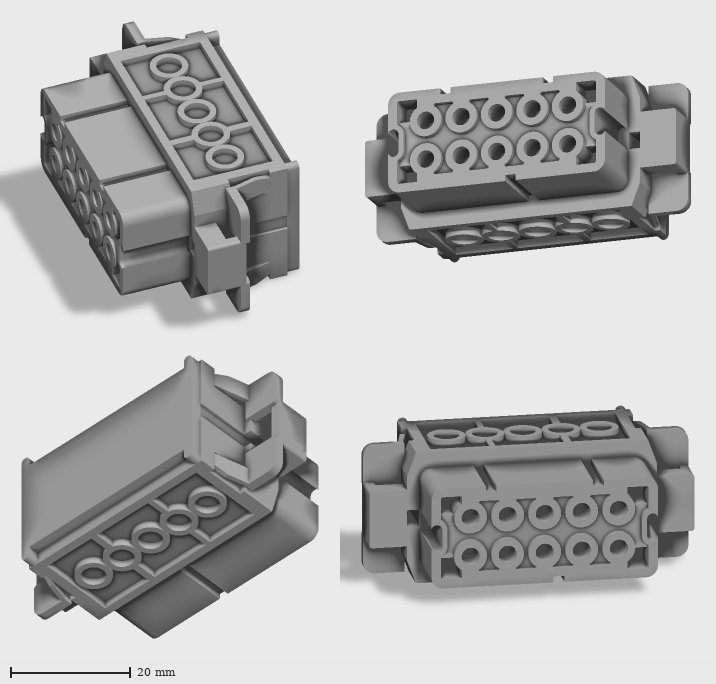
import cadquery as cq

EPS = 0.05
SIDES = (-1, 1)

overall_length = 31.55
housing_half_width = 19.75
half_height = 23.0 / 2
housing_back = 17.35
rim_back = 19.55
rim_half_width = 19.45
rail_width = 1.7
rim_web_drop = 2.2

collar_half_width = 21.25
collar_back = 6.85
collar_bevel_start = 7.4

channel_half_height = 1.45

block_half_width = 19.25
block_half_height = 17.55 / 2
block_length = overall_length - rim_back
block_corner = 2.0
key_width = 1.8
key_depth = 1.05
upper_key_x = 9.15
lower_key_x = 2.45
side_groove_inner = 17.45
side_groove_height = 4.8
side_groove_width = 1.9

columns = 5
contact_pitch = 6.3
row_spacing = 6.8
contact_z = row_spacing / 2
sleeve_radius = 5.6 / 2
bore_radius = 3.05 / 2
bore_depth = 5.55

recess_depth = 1.2
recess_half_width = 17.65
end_wall = 0.9
neck_width = 3.55
neck_half_height = 12.45 / 2
corner_inner_x = 14.1
corner_top_z = 7.25
corner_step_z = 3.8
corner_depth = 5
recess_fillet = 0.35

tray_half_width = 34.05 / 2
tray_front = 1.5
tray_back = 15.75
tray_depth = 1.4
port_row_length = 26.05
port_pitch = port_row_length / (columns - 1)
port_y = 8.65
port_radius = 6.5 / 2
port_bore_radius = 2.15
port_bore_depth = tray_depth
rib_outer_x = 7.0
left_rib_width = 1.0
right_rib_width = 1.3

flange_half_width = 27.7
plate_inner_x = 20.65
plate_front = 5.85
plate_back = 7.55
plate_half_height = 11.25
plate_corner = 2.0
foot_half_height = 4.95
foot_fillet = 0.5
window_outer_x = 26.05
window_front = 3.8
notch_depth = plate_back - collar_back
notch_half_height = 3.9
arm_bottom_z = 7.75
arm_tip_y = 14.2
arm_root_outer_x = 21.45
arm_tip_inner_x = 18.85
arm_taper_y = 11.4
arm_tip_z = 10.35


def box(x_range, y_range, z_range):
    """Axis-aligned box given by a pair of limits on each axis, in either order."""
    limits = [sorted(pair) for pair in (x_range, y_range, z_range)]
    lengths = [high - low for low, high in limits]
    corner = tuple(low for low, _ in limits)
    return cq.Workplane("XY").box(*lengths, centered=False).translate(corner)


def mirrored_x(x_near, x_far, side):
    """X limits placed on the chosen side of the part."""
    return (side * x_near, side * x_far)


def cylinder_y(x, z, radius, y_front, y_back):
    """Cylinder along Y between two planes."""
    plane = cq.Workplane("XZ", origin=(x, y_back, z))
    return plane.circle(radius).extrude(y_back - y_front)


def centered_row(count, pitch):
    """Positions of equally spaced items, symmetric about zero."""
    return [(index - (count - 1) / 2) * pitch for index in range(count)]


contact_xs = centered_row(columns, contact_pitch)
neck_xs = centered_row(columns - 1, contact_pitch)
port_xs = centered_row(columns, port_pitch)


def make_housing():
    body = box((-housing_half_width, housing_half_width), (0, housing_back), (-half_height, half_height))
    collar = (
        cq.Workplane("XZ")
        .polyline([
            (housing_half_width, half_height),
            (collar_half_width, collar_bevel_start),
            (collar_half_width, -collar_bevel_start),
            (housing_half_width, -half_height),
            (-housing_half_width, -half_height),
            (-collar_half_width, -collar_bevel_start),
            (-collar_half_width, collar_bevel_start),
            (-housing_half_width, half_height),
        ])
        .close()
        .extrude(-collar_back)
    )
    for side in SIDES:
        for level in SIDES:
            body = body.cut(box(
                mirrored_x(arm_tip_inner_x, housing_half_width + EPS, side),
                (collar_back, arm_tip_y),
                (level * collar_bevel_start, level * (half_height + EPS)),
            ))
    return body.union(collar)


def make_rim():
    """Two full-height rails with rounded ends, joined by a lower web."""
    web_half_height = half_height - rim_web_drop
    rim_y = (housing_back, rim_back)
    rim = box((-rim_half_width, rim_half_width), rim_y, (-web_half_height, web_half_height))
    rail_x = rim_half_width - rail_width / 2
    for side in SIDES:
        rail = (
            cq.Workplane("XZ", origin=(side * rail_x, rim_back, 0))
            .slot2D(2 * half_height, rail_width, 90)
            .extrude(rim_back - housing_back)
        )
        rim = rim.union(rail)
    return rim


def side_groove_solid(side, grow):
    """Round-ended bar along the side of the mating block, enlarged by a given wall."""
    center_x = side * (side_groove_inner + side_groove_width / 2)
    return (
        cq.Workplane("XZ", origin=(center_x, 0, 0))
        .slot2D(side_groove_height + 2 * grow, side_groove_width + 2 * grow, 90)
        .extrude(block_length)
    )


def make_block():
    block = (
        box(
            (-block_half_width, block_half_width),
            (-block_length, 0),
            (-block_half_height, block_half_height),
        )
        .edges("|Y")
        .fillet(block_corner)
    )
    keyways = [(-upper_key_x, 1), (upper_key_x, 1), (lower_key_x, -1)]
    for x, level in keyways:
        block = block.cut(box(
            (x - key_width / 2, x + key_width / 2),
            (-block_length, 0),
            (level * (block_half_height - key_depth), level * block_half_height),
        ))
    for side in SIDES:
        block = block.cut(side_groove_solid(side, 0))
    return block


def make_contact_recess():
    """Shallow recess between the sleeves plus four deep corner pockets."""
    face = -block_length
    shallow_y = (face, face + recess_depth)
    recess = box((-recess_half_width, recess_half_width), shallow_y, (-contact_z, contact_z))
    for x in neck_xs:
        neck_x = (x - neck_width / 2, x + neck_width / 2)
        neck = box(neck_x, shallow_y, (-neck_half_height, neck_half_height))
        recess = recess.union(neck.edges("|Y").fillet(recess_fillet))
    for side in SIDES:
        corner_x = mirrored_x(corner_inner_x, recess_half_width, side)
        recess = recess.union(box(corner_x, shallow_y, (-corner_step_z, corner_step_z)))
        for level in SIDES:
            pocket = box(
                corner_x,
                (face, face + corner_depth),
                (level * corner_step_z, level * corner_top_z),
            )
            outer_edge = (">X" if side > 0 else "<X") + " and |Y"
            top_face = ">Z" if level > 0 else "<Z"
            pocket = pocket.faces(top_face).edges(outer_edge).fillet(recess_fillet)
            recess = recess.union(pocket)
        recess = recess.cut(side_groove_solid(side, end_wall))
    for x in contact_xs:
        for level in SIDES:
            recess = recess.cut(cylinder_y(x, level * contact_z, sleeve_radius, face, 0))
    return recess


def cut_contact_bores(body):
    for x in contact_xs:
        for level in SIDES:
            body = body.cut(
                cylinder_y(x, level * contact_z, bore_radius, -block_length, bore_depth - block_length)
            )
    return body


def make_tray():
    """Material removed from the upper face: tray with ported bosses and two cross ribs left standing."""
    floor_z = half_height - tray_depth
    tray = box((-tray_half_width, tray_half_width), (tray_front, tray_back), (floor_z, half_height))
    for side, width in ((-1, left_rib_width), (1, right_rib_width)):
        rib_x = mirrored_x(rib_outer_x - width, rib_outer_x, side)
        tray = tray.cut(box(rib_x, (tray_front, tray_back), (floor_z, half_height)))
    port_points = [(x, port_y) for x in port_xs]
    bosses = (
        cq.Workplane("XY", origin=(0, 0, floor_z))
        .pushPoints(port_points)
        .circle(port_radius)
        .extrude(tray_depth)
    )
    bores = (
        cq.Workplane("XY", origin=(0, 0, half_height - port_bore_depth))
        .pushPoints(port_points)
        .circle(port_bore_radius)
        .extrude(port_bore_depth)
    )
    return tray.cut(bosses).union(bores)


def make_spring_arm():
    """Upper arm on the +X side, leaning from the plate to the housing and tapered at its tip."""
    leaning = (
        cq.Workplane("XY", origin=(0, 0, arm_bottom_z))
        .polyline([
            (plate_inner_x, plate_back),
            (arm_root_outer_x, plate_back),
            (housing_half_width, arm_tip_y),
            (arm_tip_inner_x, arm_tip_y),
        ])
        .close()
        .extrude(plate_half_height - arm_bottom_z)
    )
    side_profile = (
        cq.Workplane("YZ")
        .polyline([
            (plate_back, arm_bottom_z),
            (arm_tip_y, arm_bottom_z),
            (arm_tip_y, arm_tip_z),
            (arm_taper_y, plate_half_height),
            (plate_back, plate_half_height),
        ])
        .close()
        .extrude(flange_half_width)
    )
    return leaning.intersect(side_profile)


def make_flange():
    """Flange on the +X side."""
    plate = (
        box(
            (plate_inner_x, flange_half_width),
            (plate_front, plate_back),
            (-plate_half_height, plate_half_height),
        )
        .edges("|Y and >X")
        .fillet(plate_corner)
    )
    notch = (
        cq.Workplane("XZ", origin=(0, plate_back, 0))
        .polyline([
            (plate_inner_x, notch_half_height),
            (flange_half_width - foot_fillet, notch_half_height),
            (flange_half_width, notch_half_height + foot_fillet),
            (flange_half_width, -notch_half_height - foot_fillet),
            (flange_half_width - foot_fillet, -notch_half_height),
            (plate_inner_x, -notch_half_height),
        ])
        .close()
        .extrude(notch_depth)
    )
    foot = (
        box((plate_inner_x, flange_half_width), (0, plate_front), (-foot_half_height, foot_half_height))
        .edges("|Y and >X")
        .fillet(foot_fillet)
    )
    window = box(
        (collar_half_width, window_outer_x),
        (window_front, plate_front),
        (-foot_half_height, foot_half_height),
    )
    opening = box(
        (plate_inner_x, window_outer_x),
        (plate_front, plate_back),
        (-notch_half_height, notch_half_height),
    )
    arm = make_spring_arm()
    return plate.cut(notch).cut(opening).union(foot.cut(window)).union(arm).union(arm.mirror("XY"))


def make_channel(side):
    """Guide channel running along the side of the housing and through the collar."""
    return box(
        mirrored_x(block_half_width, collar_half_width, side),
        (0, housing_back),
        (-channel_half_height, channel_half_height),
    )


block = cut_contact_bores(make_block().cut(make_contact_recess()))

flange = make_flange()
tray = make_tray()
result = make_housing().union(make_rim()).union(block).union(flange).union(flange.mirror("YZ"))
result = result.cut(tray).cut(tray.mirror("XY"))
for side in SIDES:
    result = result.cut(make_channel(side))